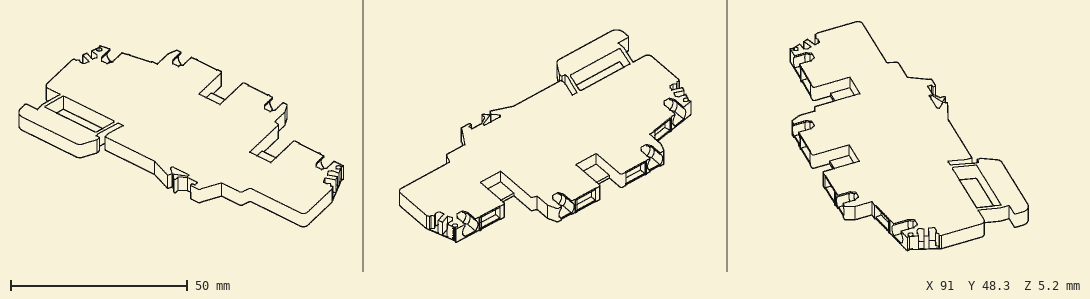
import cadquery as cq
import math

length = 91.0
height = 48.3
thickness = 5.2
notch_floor = 0.55
latch_floor = 0.3
bridge_floor = 1.1

base_y = 13.9
foot_y = 7.1
window_top_y = 8.2

crown = 0.2
crown_length = 1.8
high_top = height - crown
low_top = 37.0
shoulder_x = 20.6
shoulder_y = 40.2
right_step_x = 61.5
top_round = 0.55
chamfer_round = 0.5

slot_width = 7.4
slot_depth = 11.3
floor_height = 6.0
middle_slot_x = 37.4
right_slot_x = 63.15
middle_slot_end = middle_slot_x + slot_width
right_slot_end = right_slot_x + slot_width
middle_slot_y = height - slot_depth
right_slot_y = low_top + crown - slot_depth

notch_width = 3.6
hole_taper = 1.4
hole_end_radius = 2.3
hole_depth = thickness - 2 * notch_floor
hole_radius = math.hypot(notch_width / 2, hole_depth / 2)
notch_end_half = math.sqrt(hole_end_radius**2 - (hole_depth / 2) ** 2)
high_notch_y = 42.95
low_notch_y = 32.0
notch_lip = 0.3

ridge_width = 0.55
pocket_length = 6.8
pocket_depth = 1.8
pocket_wall = 0.55

mirror_x = 45.5
nose_x = 2.9
nose_y = 36.9
neck_x = 3.2
neck_y = 36.1
left_end_y = 27.6
right_end_y = 27.1
eye_x = 3.7
eye_y = 35.5
eye_radius = 0.7


def rounded_outline(corners):
    """Closed wire through (x, y) or (x, y, radius) corners, with tangent arcs at the radii."""
    path = None
    for i, corner in enumerate(corners):
        here = cq.Vector(*corner[:2])
        before = (cq.Vector(*corners[i - 1][:2]) - here).normalized()
        after = (cq.Vector(*corners[(i + 1) % len(corners)][:2]) - here).normalized()
        radius = corner[2] if len(corner) == 3 else 0
        half_angle = before.getAngle(after) / 2
        setback = radius / math.tan(half_angle)
        start = here + before * setback
        if path is None:
            path = cq.Workplane("XY").moveTo(start.x, start.y)
        else:
            path = path.lineTo(start.x, start.y)
        if radius:
            reach = radius / math.sin(half_angle) - radius
            middle = here + (before + after).normalized() * reach
            end = here + after * setback
            path = path.threePointArc((middle.x, middle.y), (end.x, end.y))
    return path.close()


def prism(corners, bottom=0.0):
    """Rounded outline extruded from the given Z height to the upper face."""
    return rounded_outline(corners).extrude(thickness - bottom).translate((0, 0, bottom))


def mirrored(corners):
    """The same corners on the other side of the latch mirror line."""
    return [(2 * mirror_x - x, *rest) for x, *rest in corners]


left_crown_x = shoulder_x - crown_length
slope_end_y = shoulder_y - 2 * crown

upper_edge = [
    (0, left_end_y),
    (neck_x, neck_y),
    (nose_x, nose_y),
    (left_crown_x, slope_end_y),
    (left_crown_x, shoulder_y),
    (shoulder_x, shoulder_y),
    (shoulder_x, 45.4),
    (21.7, high_top, chamfer_round),
    (middle_slot_x - crown_length, high_top),
    (middle_slot_x - crown_length, height),
    (middle_slot_x, height, top_round),
    (middle_slot_x, middle_slot_y),
    (middle_slot_end, middle_slot_y),
    (middle_slot_end, height, top_round),
    (middle_slot_end + crown_length, height),
    (middle_slot_end + crown_length, high_top),
    (60.2, high_top, chamfer_round),
    (right_step_x, 45.2),
    (right_step_x, 40.5),
    (right_slot_x, 39.9, 0.3),
    (right_slot_x, right_slot_y),
    (right_slot_end, right_slot_y),
    (right_slot_end, low_top + crown, top_round),
    (right_slot_end + crown_length, low_top + crown),
    (right_slot_end + crown_length, low_top),
    (2 * mirror_x - nose_x, nose_y),
    (2 * mirror_x - neck_x, neck_y),
    (length, right_end_y),
]

stepped_underside = [
    (length, base_y, 1.5),
    (72.0, base_y, 0.5),
    (71.0, 10.9, 0.7),
    (64.2, 10.9),
    (61.0, 5.6),
    (60.8, 4.9, 0.3),
    (57.6, 4.9, 0.3),
    (57.6, 5.8),
    (58.5, 5.8),
    (58.5, foot_y),
]

spring_catch = [
    (55.0, foot_y),
    (52.8, 5.6),
    (52.8, 4.3, 0.2),
    (52.3, 4.3),
    (50.9, 5.8),
    (54.8, 7.55),
    (54.8, window_top_y),
    (48.9, window_top_y, 0.5),
    (48.9, 7.5),
    (50.6, 5.8),
    (50.0, 4.55),
    (43.5, foot_y),
]

rail_foot = [
    (26.2, foot_y),
    (26.2, 8.8),
    (27.7, base_y),
    (25.9, base_y, 0.4),
    (23.9, foot_y),
    (23.9, 6.0),
    (25.1, 6.0),
    (25.1, 4.8),
    (22.3, 0, 1.8),
    (0, 0, 2.55),
    (0, 5.1, 0.4),
    (4.0, 5.1),
    (4.0, 7.8),
    (5.6, base_y),
    (0, base_y, 1.5),
]

body = prism(upper_edge + stepped_underside + spring_catch + rail_foot)

window = [
    (6.7, base_y),
    (24.8, base_y, 0.55),
    (23.0, foot_y, 0.4),
    (5.0, foot_y, 0.3),
]
body = body.cut(prism(window))

for slot_x, slot_y in ((middle_slot_x, middle_slot_y), (right_slot_x, right_slot_y)):
    floor = cq.Workplane("XY").box(slot_width, floor_height, bridge_floor, centered=False)
    body = body.union(floor.translate((slot_x, slot_y, 0)))


def add_marker(part, crown_x, top_y, direction, tilt=0.0):
    """Sink a pocket beside the crown strip and raise a ridge at its far end.

    The direction is +1 or -1 along X; the tilt follows a sloped terminal top, in degrees.
    """
    pocket = cq.Workplane("XY").box(pocket_length, 2 * pocket_depth, thickness - 2 * pocket_wall)
    pocket = pocket.translate((direction * pocket_length / 2, 0, thickness / 2))
    ridge = cq.Workplane("XY").box(ridge_width, 2 * crown, thickness)
    ridge = ridge.translate((direction * (pocket_length + ridge_width / 2), 0, thickness / 2))
    pocket, ridge = (
        tool.rotate((0, 0, 0), (0, 0, 1), tilt).translate((crown_x, top_y, 0)) for tool in (pocket, ridge)
    )
    return part.union(ridge).cut(pocket)


slope_angle = math.degrees(math.atan2(slope_end_y - nose_y, left_crown_x - nose_x))
body = add_marker(body, left_crown_x, slope_end_y, -1, slope_angle)
body = add_marker(body, middle_slot_x - crown_length, high_top, -1)
body = add_marker(body, middle_slot_end + crown_length, high_top, 1)
body = add_marker(body, right_slot_end + crown_length, low_top, 1)


def wire_hole(left, bottom):
    """Round hole with a tapered end and a flat floor, open through the skin above it."""
    taper_top = bottom + hole_taper
    profile = [
        (0, bottom),
        (hole_end_radius, bottom),
        (hole_radius, taper_top),
        (hole_radius, height),
        (0, height),
    ]
    hole = cq.Workplane("XY").polyline(profile).close().revolve(360, (0, 0), (0, 1))
    band = cq.Workplane("XY").box(2 * hole_radius, 2 * height, hole_depth)
    hole = hole.intersect(band).translate((left + notch_width / 2, 0, thickness / 2))

    right = left + notch_width
    corner = notch_width / 2 - notch_end_half
    opening = [
        (left, height),
        (left, taper_top),
        (left + corner, bottom),
        (right - corner, bottom),
        (right, taper_top),
        (right, height),
    ]
    return hole.union(prism(opening, thickness / 2))


def floor_trim(left):
    """Strip that shortens the floor of a hole in a middle terminal."""
    trim_y = high_top - notch_lip
    trim = cq.Workplane("XY").box(notch_width, height - trim_y, notch_floor, centered=False)
    return trim.translate((left, trim_y, 0))


for left in (23.1, 55.15):
    body = body.cut(wire_hole(left, high_notch_y)).cut(floor_trim(left))
for left in (6.1, 81.1):
    body = body.cut(wire_hole(left, low_notch_y))

upper_gap = [
    (1.55, 33.8),
    (3.3, 33.5),
    (4.5, 33.3, 0.4),
    (5.2, 32.5, 0.3),
    (4.5, 31.1),
    (1.1, 32.5),
]
lower_gap = [
    (0.8, 31.0),
    (4.3, 29.8),
    (3.7, 28.1, 0.3),
    (2.5, 28.1),
    (1.6, 28.7),
    (0.9, 28.0),
    (0, 28.2),
]
for gap in (upper_gap, lower_gap):
    body = body.cut(prism(gap, latch_floor))
    body = body.cut(prism(mirrored(gap), latch_floor))

for x in (eye_x, 2 * mirror_x - eye_x):
    eye = cq.Workplane("XY").circle(eye_radius).extrude(thickness - latch_floor)
    body = body.cut(eye.translate((x, eye_y, latch_floor)))

result = body